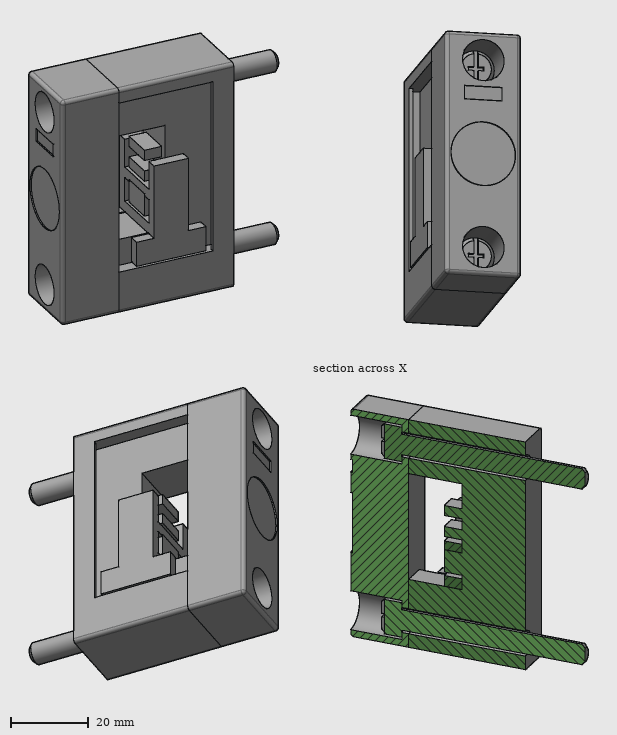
import cadquery as cq


width = 20.0
height = 65.0
cover_depth = 16.5
base_depth = 33.05
edge_radius = 1.0
side_x = width / 2

recess_length = 27.0
recess_bottom = 12.0
recess_top = 61.0
recess_depth = 3.5
lip_thickness = 1.0
undercut_length = 3.0

window_length = 15.0
window_bottom = 19.5
window_top = 49.5

tooth_width = 9.0
tooth_length = 5.0
teeth = [(23.4, 6.5), (33.5, 3.0), (39.5, 3.0)]

plate_thickness = 3.0
slider_front = window_length - tooth_length
stem_length = 10.0
stem_top = 40.4
foot_length = 20.0
foot_bottom = 12.5
foot_top = window_bottom
bar_height = 3.05
bar_bottoms = [window_bottom, 29.3]

mark_depth = 0.4
disc_diameter = 17.0
label_width = 10.0
label_height = 3.6
label_z = 48.7

screw_pitch = 50.0
screw_heights = [(height - screw_pitch) / 2, (height + screw_pitch) / 2]
bore_diameter = 11.0
clearance_diameter = 7.0
seat_thickness = 2.0
shank_diameter = 6.0
shank_projection = 16.95
tip_chamfer = 1.0
head_diameter = 10.0
head_height = 6.0
head_chamfer = 1.0
slot_depth = 1.0
slot_width = 1.2
cross_slot_length = 4.1
cross_slot_width = 1.0


def box(x_range, y_range, z_range):
    """Box between two limits along each axis."""
    lows, highs = zip(x_range, y_range, z_range)
    sizes = [high - low for low, high in zip(lows, highs)]
    return cq.Workplane("XY").box(*sizes, centered=False).translate(lows)


def centred_box(x_size, y_range, z_range):
    """Box centred on mid-width."""
    return box((-x_size / 2, x_size / 2), y_range, z_range)


def cylinder(diameter, y_start, y_end, z):
    """Cylinder along +Y at mid-width."""
    disc = cq.Workplane("XZ", origin=(0, y_start, z)).circle(diameter / 2)
    return disc.extrude(y_start - y_end)


def make_cover():
    cover = centred_box(width, (-cover_depth, 0), (0, height))
    cover = cover.edges("|Y").fillet(edge_radius)
    cover = cover.faces("<Y").edges().fillet(edge_radius)

    mark_range = (-cover_depth, mark_depth - cover_depth)
    cover = cover.cut(cylinder(disc_diameter, *mark_range, height / 2))
    label_range = (label_z - label_height / 2, label_z + label_height / 2)
    cover = cover.cut(centred_box(label_width, mark_range, label_range))

    for z in screw_heights:
        cover = cover.cut(cylinder(bore_diameter, -cover_depth, -seat_thickness, z))
        cover = cover.cut(cylinder(clearance_diameter, -seat_thickness, 0, z))
    return cover


def side_recess():
    """Recess in the -X side: an opening through the lip and a longer space behind it."""
    z_range = (recess_bottom, recess_top)
    floor_x = recess_depth - side_x
    opening = box((-side_x, floor_x), (0, recess_length), z_range)
    undercut = box(
        (lip_thickness - side_x, floor_x), (0, recess_length + undercut_length), z_range
    )
    return opening.union(undercut)


def tooth(bottom, tooth_height):
    """Block on the rear wall of the window, its front flush with the slider."""
    return centred_box(tooth_width, (slider_front, window_length), (bottom, bottom + tooth_height))


def make_base():
    base = centred_box(width, (0, base_depth), (0, height))
    base = base.edges("|Y").fillet(edge_radius)

    recess = side_recess()
    base = base.cut(recess).cut(recess.mirror("YZ"))
    base = base.cut(centred_box(width, (0, window_length), (window_bottom, window_top)))

    for bottom, tooth_height in teeth:
        base = base.union(tooth(bottom, tooth_height))

    for z in screw_heights:
        base = base.cut(cylinder(clearance_diameter, 0, base_depth, z))
    return base


def t_plate():
    """T-shaped plate, flush with the -X side: a wide foot and a stem centred on it."""
    x_range = (-side_x, plate_thickness - side_x)
    stem_middle = slider_front + stem_length / 2
    foot_range = (stem_middle - foot_length / 2, stem_middle + foot_length / 2)
    foot = box(x_range, foot_range, (foot_bottom, foot_top))
    stem = box(x_range, (slider_front, slider_front + stem_length), (foot_bottom, stem_top))
    return foot.union(stem)


def make_slider():
    plate = t_plate()
    slider = plate
    for bottom in bar_bottoms:
        bar_range = (slider_front, window_length)
        slider = slider.union(centred_box(width, bar_range, (bottom, bottom + bar_height)))
    slider = slider.union(plate.mirror("YZ"))

    for bottom, tooth_height in teeth:
        slider = slider.cut(tooth(bottom, tooth_height))
    return slider


def make_screw(z):
    """Screw along +Y, its head resting on the seat in the cover."""
    seat_y = -seat_thickness
    face_y = seat_y - head_height
    tip_y = base_depth + shank_projection
    head_radius = head_diameter / 2
    shank_radius = shank_diameter / 2
    profile = [
        (0, face_y),
        (head_radius - head_chamfer, face_y),
        (head_radius, face_y + head_chamfer),
        (head_radius, seat_y),
        (shank_radius, seat_y),
        (shank_radius, tip_y - tip_chamfer),
        (shank_radius - tip_chamfer, tip_y),
        (0, tip_y),
    ]
    screw = cq.Workplane("XY").polyline(profile).close().revolve(360, (0, 0, 0), (0, 1, 0))

    slot_range = (face_y, face_y + slot_depth)
    long_slot = centred_box(slot_width, slot_range, (-head_radius, head_radius))
    cross_slot = centred_box(
        cross_slot_length, slot_range, (-cross_slot_width / 2, cross_slot_width / 2)
    )
    return screw.cut(long_slot).cut(cross_slot).translate((0, 0, z))


cover = make_cover()
base = make_base()
slider = make_slider()
screws = [make_screw(z).val() for z in screw_heights]

result = cq.Compound.makeCompound([cover.val(), base.val(), slider.val(), *screws])